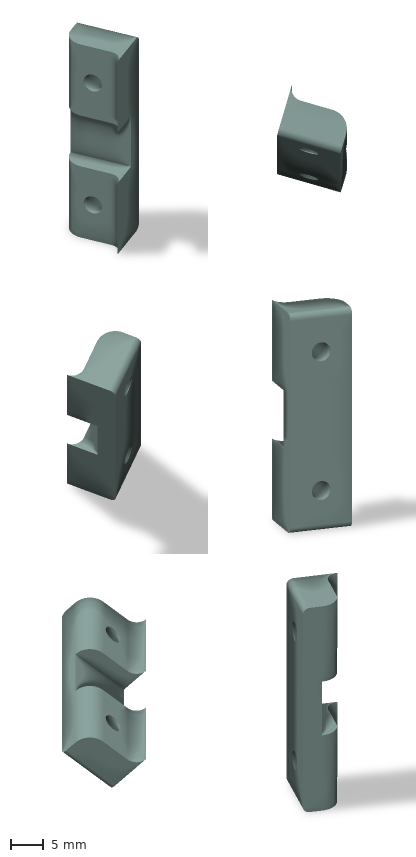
import cadquery as cq
import math

width = 10.0
depth = 8.0
height = 35.0

round_radius = 3.0
flare_radius = 2.0
back_radius = 1.0

web_thickness = 3.0
notch_height = 9.2
hole_diameter = 3.0

block_height = (height - notch_height) / 2
hole_offset = (notch_height + block_height) / 2
front_y = flare_radius - depth
left_x = -width / 2
right_x = width / 2
diagonal = math.sqrt(0.5)


def make_body():
    """Extrude the rounded and flared profile along Z."""
    round_center_x = left_x + round_radius
    round_center_y = front_y + round_radius
    round_middle = (
        round_center_x - round_radius * diagonal,
        round_center_y - round_radius * diagonal,
    )
    flare_center_x = right_x - flare_radius
    flare_middle = (
        flare_center_x + flare_radius * diagonal,
        -depth + flare_radius * diagonal,
    )
    return (
        cq.Workplane("XY", origin=(0, 0, -height / 2))
        .moveTo(left_x, 0)
        .lineTo(left_x, round_center_y)
        .threePointArc(round_middle, (round_center_x, front_y))
        .lineTo(flare_center_x, front_y)
        .threePointArc(flare_middle, (right_x, -depth))
        .lineTo(right_x, 0)
        .close()
        .extrude(height)
    )


def make_notch():
    """Block that clears the front of the part at mid height."""
    return (
        cq.Workplane("XY")
        .box(width, depth, notch_height)
        .translate((0, -web_thickness - depth / 2, 0))
    )


def make_holes():
    """One through hole along Y at the middle of each end block."""
    return (
        cq.Workplane("XZ")
        .pushPoints([(0, -hole_offset), (0, hole_offset)])
        .circle(hole_diameter / 2)
        .extrude(depth)
    )


body = make_body().faces(">Y").edges("|X").fillet(back_radius)
result = body.cut(make_notch()).cut(make_holes())